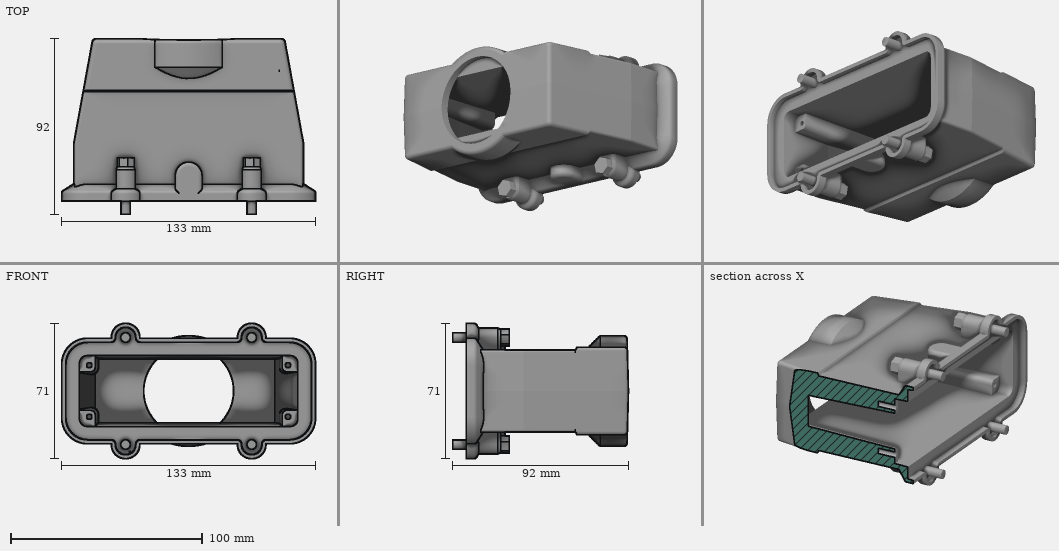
import cadquery as cq
import math

OVERALL_LENGTH = 92.0
OVERALL_HEIGHT = 71.0
DRAFT = 1.5
DRAFT_SLOPE = math.tan(math.radians(DRAFT))
SELECT_GAP = 0.1

FLANGE_LENGTH = 133.0
FLANGE_HEIGHT = 55.4
FLANGE_CORNER = 13.7
FLANGE_EDGE = 5.0
FLANGE_SLOPE_RISE = 4.1
FLANGE_SLOPE_ANGLE = 58.0
FLANGE_FILLET = 2.0
RIM = 2.3
RECESS_DEPTH = 3.3
RECESS_BLEND = 2.5
RECESS_DRAFT = 4.0

SCREW_X = 33.0
SCREW_Z = 28.0
EAR_RADIUS = OVERALL_HEIGHT / 2 - SCREW_Z
SLEEVE_RADIUS = 5.0
SLEEVE_END = 18.0
SLEEVE_CHAMFER_LENGTH = 1.5
SLEEVE_CHAMFER_INSET = 0.6
PIN_DIAMETER = 5.0
PIN_LENGTH = 7.0
HEAD_FLATS = 8.0
HEAD_END = 22.6
HEAD_TURN = 17.0

BODY_END = OVERALL_LENGTH - PIN_LENGTH
BODY_HALF_WIDTH = 60.2
BODY_END_HALF_WIDTH = 50.2
END_SLOPE_START = 30.0
BODY_HALF_HEIGHT = 21.5
BODY_EDGE_FILLET = 1.3
HOOD_HALF_HEIGHT = 23.0
HOOD_START = 57.2
HOOD_STEP_LENGTH = 0.9
HOOD_EDGE_FILLET = 2.0
HOOD_CORNER_FILLET = 2.2

ENTRY_DIAMETER = 47.0
BOSS_RADIUS = 29.0
BOSS_FILLET = 1.9
BOSS_START = 70.1

PAD_RADIUS = 7.0
PAD_END = 20.4
PAD_FILLET = 2.2

CAVITY_HALF_WIDTH = 57.2
CAVITY_HALF_HEIGHT = 18.6
CAVITY_CORNER = 4.3
CAVITY_END = 80.0
CAVITY_LEFT_END_X = -49.0
CAVITY_BEND_Y = 34.5
CAVITY_RIGHT_END_X = 45.1
CAVITY_RIGHT_BEND_X = 54.0
POST_START = 11.2
POST_FACE_X = 48.9
POST_FACE_Z = 10.1
POST_CORNER = 2.4
POST_OVERLAP = 8.0
POST_HOLE_X = 52.0
POST_HOLE_Z = 13.5
POST_HOLE_DIAMETER = 2.8
POST_HOLE_DEPTH = 10.0

SCREWS = [(sz * SCREW_Z, sx * SCREW_X) for sz in (-1, 1) for sx in (-1, 1)]


def across(y):
    """Workplane at the given Y facing +Y, with local axes (Z, X)."""
    return cq.Workplane(cq.Plane(origin=(0, y, 0), xDir=(0, 0, 1), normal=(0, 1, 0)))


def rounded_bar(y, height, length, corner):
    """Rounded rectangle outline across Y."""
    return across(y).sketch().rect(height, length).vertices().fillet(corner).finalize()


def half_width_at(y):
    """Half width of the housing at the parting plane, on the sloping part of its ends."""
    slope = (BODY_HALF_WIDTH - BODY_END_HALF_WIDTH) / (BODY_END - END_SLOPE_START)
    return BODY_END_HALF_WIDTH + slope * (BODY_END - y)


def upper_half(end, height):
    """Upper half of the housing up to the given Y, drafted from the parting plane."""
    end_half_width = half_width_at(end)
    return (
        cq.Workplane("XY")
        .polyline([
            (-BODY_HALF_WIDTH, RECESS_DEPTH),
            (BODY_HALF_WIDTH, RECESS_DEPTH),
            (BODY_HALF_WIDTH, END_SLOPE_START),
            (end_half_width, end),
            (-end_half_width, end),
            (-BODY_HALF_WIDTH, END_SLOPE_START),
        ])
        .close()
        .extrude(height, taper=DRAFT)
    )


def side_prism(points):
    """Half outline of (Y, Z) points mirrored in the parting plane and drawn out along X."""
    outline = points + [(y, -z) for y, z in reversed(points) if z > 0]
    return cq.Workplane("YZ").polyline(outline).close().extrude(FLANGE_LENGTH, both=True)


def at_edge_height():
    """Selector for the edges where the straight rim of the flange meets the sloping back."""
    return cq.selectors.BoxSelector(
        (-FLANGE_LENGTH, FLANGE_EDGE - SELECT_GAP, -FLANGE_HEIGHT),
        (FLANGE_LENGTH, FLANGE_EDGE + SELECT_GAP, FLANGE_HEIGHT),
    )


def make_flange():
    flange = rounded_bar(0, FLANGE_HEIGHT, FLANGE_LENGTH, FLANGE_CORNER).extrude(FLANGE_EDGE)
    slope = rounded_bar(FLANGE_EDGE, FLANGE_HEIGHT, FLANGE_LENGTH, FLANGE_CORNER).extrude(
        FLANGE_SLOPE_RISE, taper=FLANGE_SLOPE_ANGLE
    )
    flange = flange.union(slope)
    return flange.edges(at_edge_height()).fillet(FLANGE_FILLET)


def make_ears():
    cone_rise = (EAR_RADIUS - SLEEVE_RADIUS) / math.tan(math.radians(FLANGE_SLOPE_ANGLE))
    ear = (
        cq.Workplane("XY")
        .polyline([
            (0, 0),
            (EAR_RADIUS, 0),
            (EAR_RADIUS, FLANGE_EDGE),
            (SLEEVE_RADIUS, FLANGE_EDGE + cone_rise),
            (0, FLANGE_EDGE + cone_rise),
        ])
        .close()
        .revolve(360, (0, 0), (0, 1))
    )
    ear = ear.edges(at_edge_height()).fillet(FLANGE_FILLET)
    ears = cq.Workplane("XY")
    for z, x in SCREWS:
        ears = ears.union(ear.translate((x, 0, z)))
    return ears


def make_sleeves():
    """Screw sleeves, each joined to the housing by a web of the same width."""
    sleeve = (
        across(0)
        .moveTo(0, -SLEEVE_RADIUS)
        .threePointArc((SLEEVE_RADIUS, 0), (0, SLEEVE_RADIUS))
        .lineTo(-SCREW_Z, SLEEVE_RADIUS)
        .lineTo(-SCREW_Z, -SLEEVE_RADIUS)
        .close()
        .extrude(SLEEVE_END)
        .faces(">Y")
        .chamfer(SLEEVE_CHAMFER_LENGTH, SLEEVE_CHAMFER_INSET)
    )
    upper = sleeve.translate((SCREW_X, 0, SCREW_Z)).union(sleeve.translate((-SCREW_X, 0, SCREW_Z)))
    return upper.union(upper.mirror("XY"))


def make_screws():
    shank = across(-PIN_LENGTH).pushPoints(SCREWS).circle(PIN_DIAMETER / 2)
    screws = shank.extrude(PIN_LENGTH + SLEEVE_END)
    corner_diameter = HEAD_FLATS / math.cos(math.radians(30))
    head = across(0).polygon(6, corner_diameter).extrude(HEAD_END - SLEEVE_END)
    head = head.rotate((0, 0, 0), (0, 1, 0), 90 - HEAD_TURN)
    for z, x in SCREWS:
        screws = screws.union(head.translate((x, SLEEVE_END, z)))
    return screws


def make_pads():
    """Arched pads, flush with the long sides of the flange."""
    centre_y = PAD_END - PAD_RADIUS
    pads = (
        cq.Workplane("XY")
        .moveTo(-PAD_RADIUS, FLANGE_FILLET)
        .lineTo(-PAD_RADIUS, centre_y)
        .threePointArc((0, PAD_END), (PAD_RADIUS, centre_y))
        .lineTo(PAD_RADIUS, FLANGE_FILLET)
        .close()
        .extrude(FLANGE_HEIGHT / 2, both=True)
    )
    for face in (">Z", "<Z"):
        pads = pads.faces(face).edges("not <Y").fillet(PAD_FILLET)
    return pads


def make_body():
    """Lower part of the housing, ending inside the hood."""
    body = upper_half(BOSS_START, BODY_HALF_HEIGHT)
    return body.faces(">Z").edges("not(<Y or >Y)").fillet(BODY_EDGE_FILLET)


def make_hood():
    """Thicker cable end of the housing, set off by a bevelled step."""
    hood = upper_half(BODY_END, HOOD_HALF_HEIGHT)
    hood = hood.faces(">Y").edges("not(#Z or |X)").fillet(HOOD_CORNER_FILLET)
    hood = hood.faces(">Z").edges("not <Y").fillet(HOOD_EDGE_FILLET)
    return hood.intersect(side_prism([
        (HOOD_START, BODY_HALF_HEIGHT),
        (HOOD_START + HOOD_STEP_LENGTH, HOOD_HALF_HEIGHT),
        (BODY_END, HOOD_HALF_HEIGHT),
    ]))


def make_entry_boss():
    """Upper half of the round boss, cut off by the drafted end plane of the hood."""
    inner_radius = BODY_HALF_HEIGHT - HOOD_EDGE_FILLET
    cone_start = BOSS_START - (BOSS_RADIUS - inner_radius)
    boss = (
        cq.Workplane("XY")
        .polyline([
            (0, cone_start),
            (inner_radius, cone_start),
            (BOSS_RADIUS, BOSS_START),
            (BOSS_RADIUS, BODY_END),
            (0, BODY_END),
        ])
        .close()
        .revolve(360, (0, 0), (0, 1))
    )
    drafted_end = (
        cq.Workplane("YZ")
        .polyline([
            (0, 0),
            (BODY_END, 0),
            (BODY_END - BOSS_RADIUS * DRAFT_SLOPE, BOSS_RADIUS),
            (0, BOSS_RADIUS),
        ])
        .close()
        .extrude(FLANGE_LENGTH, both=True)
    )
    boss = boss.intersect(drafted_end)
    return boss.faces(">Y").edges("not |X").fillet(BOSS_FILLET)


def make_housing():
    upper = make_body().union(make_hood()).union(make_entry_boss())
    return upper.union(upper.mirror("XY"))


def make_recess():
    """Shallow recess inside the rim, widening with draft towards the mating face."""
    recess = rounded_bar(0, FLANGE_HEIGHT - 2 * RIM, FLANGE_LENGTH - 2 * RIM, FLANGE_CORNER - RIM)
    recess = recess.extrude(RECESS_DEPTH)
    recess = recess.union(across(0).pushPoints(SCREWS).circle(EAR_RADIUS - RIM).extrude(RECESS_DEPTH))
    wall_z = FLANGE_HEIGHT / 2 - RIM
    reach_x = SCREW_X + EAR_RADIUS
    for z in (-wall_z, wall_z):
        beside_ears = cq.selectors.BoxSelector(
            (-reach_x, 0, z - SELECT_GAP), (reach_x, RECESS_DEPTH, z + SELECT_GAP)
        )
        recess = recess.edges("|Y").edges(beside_ears).fillet(RECESS_BLEND)
    floor = recess.faces(">Y").wires().toPending()
    return floor.workplane().extrude(-RECESS_DEPTH, taper=-RECESS_DRAFT, combine=False)


def make_cavity():
    """Hollow of the housing, with the corner posts left standing and their screw holes."""
    plan = [
        (-CAVITY_HALF_WIDTH, RECESS_DEPTH),
        (CAVITY_HALF_WIDTH, RECESS_DEPTH),
        (CAVITY_HALF_WIDTH, POST_START),
        (CAVITY_RIGHT_BEND_X, CAVITY_BEND_Y),
        (CAVITY_RIGHT_END_X, CAVITY_END),
        (CAVITY_LEFT_END_X, CAVITY_END),
        (-CAVITY_HALF_WIDTH, CAVITY_BEND_Y),
    ]
    end_half_height = CAVITY_HALF_HEIGHT - (CAVITY_END - RECESS_DEPTH) * DRAFT_SLOPE
    side = [(RECESS_DEPTH, CAVITY_HALF_HEIGHT), (CAVITY_END, end_half_height)]
    cavity = cq.Workplane("XY").polyline(plan).close().extrude(FLANGE_HEIGHT, both=True)
    cavity = cavity.intersect(side_prism(side))
    mouth = rounded_bar(0, 2 * CAVITY_HALF_HEIGHT, 2 * CAVITY_HALF_WIDTH, CAVITY_CORNER)
    cavity = cavity.intersect(mouth.extrude(CAVITY_END))

    post_width = CAVITY_HALF_WIDTH - POST_FACE_X + POST_OVERLAP
    post_height = CAVITY_HALF_HEIGHT - POST_FACE_Z + POST_OVERLAP
    post = rounded_bar(POST_START, post_height, post_width, POST_CORNER)
    post = post.extrude(CAVITY_END - POST_START, taper=-DRAFT)
    hole = across(POST_START).circle(POST_HOLE_DIAMETER / 2).extrude(POST_HOLE_DEPTH)
    for sx in (-1, 1):
        for sz in (-1, 1):
            x = sx * (POST_FACE_X + post_width / 2)
            z = sz * (POST_FACE_Z + post_height / 2)
            cavity = cavity.cut(post.translate((x, 0, z)))
            cavity = cavity.union(hole.translate((sx * POST_HOLE_X, 0, sz * POST_HOLE_Z)))
    return cavity


entry = across(CAVITY_END).circle(ENTRY_DIAMETER / 2).extrude(BODY_END - CAVITY_END)
result = make_housing().union(make_flange()).union(make_ears()).union(make_pads()).union(make_sleeves())
result = result.cut(make_recess()).cut(make_cavity()).cut(entry).union(make_screws())